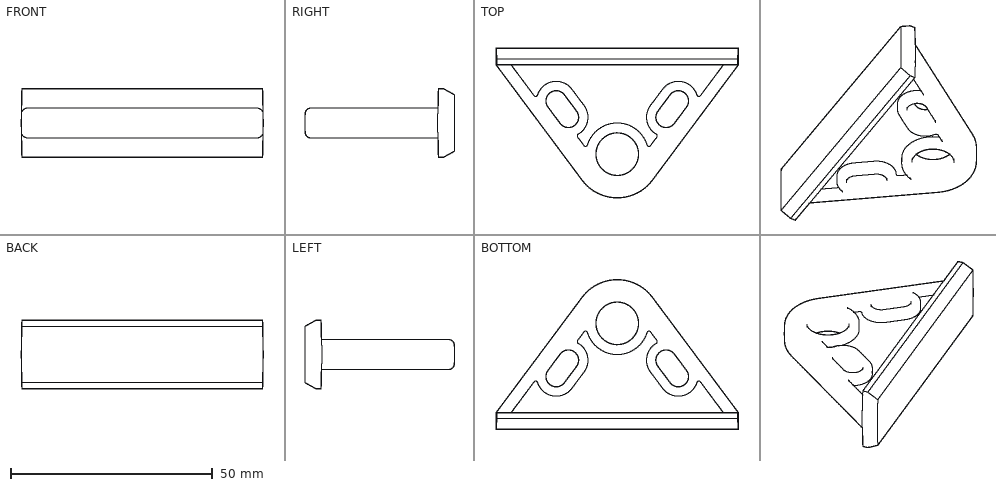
import cadquery as cq
import math

LENGTH = 60.0
PLATE_HEIGHT = 17.0
PLATE_DEPTH = 4.2
BEVEL_DEPTH = 2.7
BEVEL_HEIGHT = 1.5
DRAFT_ANGLE = 1.0

OVERALL_DEPTH = 37.15
ARM_THICKNESS = 7.5
NOSE_RADIUS = 10.85
ARM_EDGE_RADIUS = 1.5

HOLE_DIAMETER = 10.5
HOLE_EDGE_RADIUS = 1.0
SLOT_RADIUS = 2.5
SLOT_SPACING = 5.05
SLOT_X = 13.6
SLOT_Y = -15.1
SLOT_EDGE_RADIUS = 0.5

WEB_THICKNESS = 2.5
CORNER_RIB_WIDTH = 3.0
INNER_RIB_WIDTH = 5.5
HOLE_PAD_RADIUS = 7.75
SLOT_PAD_RADIUS = 4.85
POCKET_CORNER_RADIUS = 0.5
POCKET_EDGE_RADIUS = 0.65

HALF_LENGTH = LENGTH / 2
HALF_HEIGHT = PLATE_HEIGHT / 2
HALF_ARM = ARM_THICKNESS / 2
HALF_WEB = WEB_THICKNESS / 2
NOSE_Y = NOSE_RADIUS - OVERALL_DEPTH
DRAFT_SETBACK = HALF_HEIGHT * math.tan(math.radians(DRAFT_ANGLE))
POCKET_BACK_Y = -PLATE_DEPTH / 2
ARM_ROOT_Y = -PLATE_DEPTH / 4

CORNER_RUN = -PLATE_DEPTH - NOSE_Y
CORNER_DISTANCE = math.hypot(HALF_LENGTH, CORNER_RUN)
SIDE_ANGLE = math.atan2(CORNER_RUN, HALF_LENGTH) + math.asin(NOSE_RADIUS / CORNER_DISTANCE)
SIDE_ANGLE_DEGREES = math.degrees(SIDE_ANGLE)


def triangle_outline(nose_radius, back_y):
    """Rounded triangle about the nose centre, cut off straight at back_y."""
    tangent_x = nose_radius * math.sin(SIDE_ANGLE)
    tangent_y = NOSE_Y - nose_radius * math.cos(SIDE_ANGLE)
    back_x = tangent_x + (back_y - tangent_y) / math.tan(SIDE_ANGLE)
    return (
        cq.Workplane("XY")
        .moveTo(-back_x, back_y)
        .lineTo(-tangent_x, tangent_y)
        .threePointArc((0, NOSE_Y - nose_radius), (tangent_x, tangent_y))
        .lineTo(back_x, back_y)
        .close()
    )


def make_plate():
    """Bar section with bevelled back edges and a drafted front."""
    bevel_z = HALF_HEIGHT - BEVEL_HEIGHT
    front_y = DRAFT_SETBACK - PLATE_DEPTH
    section = [
        (0, -bevel_z),
        (-BEVEL_DEPTH, -HALF_HEIGHT),
        (front_y, -HALF_HEIGHT),
        (-PLATE_DEPTH, 0),
        (front_y, HALF_HEIGHT),
        (-BEVEL_DEPTH, HALF_HEIGHT),
        (0, bevel_z),
    ]
    return cq.Workplane("YZ").polyline(section).close().extrude(HALF_LENGTH, both=True)


def make_end_envelope():
    """Prism along Y whose drafted ends trim the plate and the arm corners."""
    end_x = HALF_LENGTH - DRAFT_SETBACK
    section = [
        (-end_x, -HALF_HEIGHT),
        (end_x, -HALF_HEIGHT),
        (HALF_LENGTH, 0),
        (end_x, HALF_HEIGHT),
        (-end_x, HALF_HEIGHT),
        (-HALF_LENGTH, 0),
    ]
    return cq.Workplane("XZ").polyline(section).close().extrude(OVERALL_DEPTH)


def make_upper_arm_body():
    """Upper half of the plain arm, drafted, with its top side and nose edges rounded."""
    half = triangle_outline(NOSE_RADIUS, ARM_ROOT_Y).extrude(HALF_ARM, taper=DRAFT_ANGLE)
    return half.faces(">Z").edges("not >Y").fillet(ARM_EDGE_RADIUS)


def slot_prism(side, radius):
    """Slot shape on one side of the arm, parallel to that side's edge."""
    return (
        cq.Workplane("XY", origin=(side * SLOT_X, SLOT_Y, 0))
        .transformed(rotate=(0, 0, side * SIDE_ANGLE_DEGREES))
        .slot2D(SLOT_SPACING + 2 * radius, 2 * radius)
        .extrude(HALF_ARM)
    )


def hole_prism(radius):
    """Round shape about the nose centre."""
    return cq.Workplane("XY", origin=(0, NOSE_Y, 0)).circle(radius).extrude(HALF_ARM)


def make_upper_pocket():
    """Space above the web, inside the ribs and around the pads of hole and slots."""
    space_near_plate = (
        cq.Workplane("XY", origin=(0, SLOT_Y, 0))
        .rect(LENGTH, -SLOT_Y, centered=(True, False))
        .extrude(HALF_ARM)
    )
    corner_pockets = triangle_outline(NOSE_RADIUS - CORNER_RIB_WIDTH, POCKET_BACK_Y).extrude(HALF_ARM)
    pocket = triangle_outline(NOSE_RADIUS - INNER_RIB_WIDTH, POCKET_BACK_Y).extrude(HALF_ARM)
    pocket = pocket.union(corner_pockets.intersect(space_near_plate))
    pocket = pocket.cut(hole_prism(HOLE_PAD_RADIUS))
    for side in (-1, 1):
        pocket = pocket.cut(slot_prism(side, SLOT_PAD_RADIUS))
    return (
        pocket.faces("<Z")
        .wires()
        .toPending()
        .workplane(invert=True)
        .offset2D(-POCKET_CORNER_RADIUS)
        .offset2D(POCKET_CORNER_RADIUS)
        .extrude(HALF_ARM, combine=False)
        .translate((0, 0, HALF_WEB))
    )


def round_upper_edges(arm):
    """Round the upper rims of both slots, the hole and the pocket."""
    rims = sorted(arm.faces(">Z").val().innerWires(), key=lambda rim: rim.Length())
    radii = (SLOT_EDGE_RADIUS, SLOT_EDGE_RADIUS, HOLE_EDGE_RADIUS, POCKET_EDGE_RADIUS)
    for rim, radius in zip(rims, radii):
        arm = arm.newObject(rim.Edges()).fillet(radius)
    return arm


def make_upper_arm():
    """Upper half of the arm with its pocket and openings."""
    arm = make_upper_arm_body().cut(make_upper_pocket()).cut(hole_prism(HOLE_DIAMETER / 2))
    for side in (-1, 1):
        arm = arm.cut(slot_prism(side, SLOT_RADIUS))
    return round_upper_edges(arm)


upper_arm = make_upper_arm()
arm = upper_arm.union(upper_arm.mirror("XY"))
result = arm.union(make_plate()).intersect(make_end_envelope())